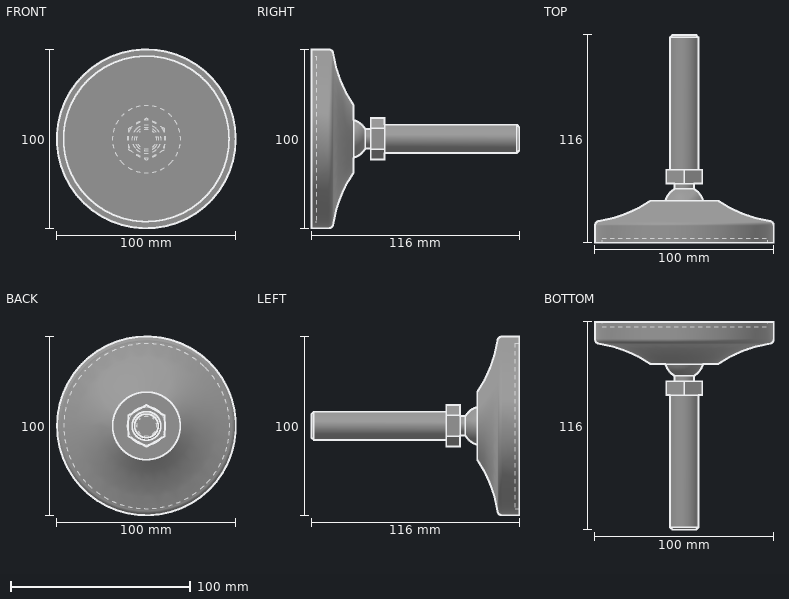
import cadquery as cq
import math

total_length = 116.0

pad_radius = 100.0 / 2
rim_height = 9.5
shoulder_radius = 2.8
pad_height = 23.5
pad_top_radius = 18.9
flare_sag = 1.7
recess_radius = 92.5 / 2
recess_depth = 2.5

ball_radius = 11.0
ball_top = 30.0
ball_top_radius = 5.6
ball_center = ball_top - math.sqrt(ball_radius**2 - ball_top_radius**2)
neck_radius = 11.0 / 2

hex_start = 33.1
hex_height = 7.8
hex_across_flats = 20.2
stem_radius = 16.0 / 2
stem_chamfer = 1.4


def cylinder(radius, start, end):
    """Round bar on the Y axis between two heights."""
    plane = cq.Plane(origin=(0, start, 0), xDir=(1, 0, 0), normal=(0, 1, 0))
    return cq.Workplane(plane).circle(radius).extrude(end - start)


def make_pad():
    """Revolved pad with a rounded shoulder, a concave flare and a recessed underside."""
    shoulder_end = (pad_radius - shoulder_radius, rim_height + shoulder_radius)
    shoulder_mid = (
        pad_radius - shoulder_radius * (1 - math.sqrt(0.5)),
        rim_height + shoulder_radius * math.sqrt(0.5),
    )
    run = shoulder_end[0] - pad_top_radius
    rise = pad_height - shoulder_end[1]
    chord = math.hypot(run, rise)
    flare_mid = (
        pad_top_radius + run / 2 - flare_sag * rise / chord,
        shoulder_end[1] + rise / 2 - flare_sag * run / chord,
    )
    return (
        cq.Workplane("XY")
        .moveTo(0, recess_depth)
        .lineTo(recess_radius, recess_depth)
        .lineTo(recess_radius, 0)
        .lineTo(pad_radius, 0)
        .lineTo(pad_radius, rim_height)
        .threePointArc(shoulder_mid, shoulder_end)
        .threePointArc(flare_mid, (pad_top_radius, pad_height))
        .lineTo(0, pad_height)
        .close()
        .revolve(360, (0, 0, 0), (0, 1, 0))
    )


def make_ball():
    """Ball seated in the pad, cut flat where the neck begins."""
    ball = cq.Workplane("XY").sphere(ball_radius).translate((0, ball_center, 0))
    return ball.intersect(cylinder(ball_radius, ball_center, ball_top))


def make_hexagon():
    """Wrench hexagon with two corners pointing along Z."""
    across_corners = hex_across_flats / math.cos(math.pi / 6)
    plane = cq.Plane(origin=(0, hex_start, 0), xDir=(0, 0, 1), normal=(0, 1, 0))
    return cq.Workplane(plane).polygon(6, across_corners).extrude(hex_height)


def make_stem():
    """Stem above the hexagon with a chamfered tip."""
    stem = cylinder(stem_radius, hex_start + hex_height, total_length)
    return stem.faces(">Y").chamfer(stem_chamfer)


neck = cylinder(neck_radius, ball_center, hex_start)
result = make_pad().union(make_ball()).union(neck).union(make_hexagon()).union(make_stem())